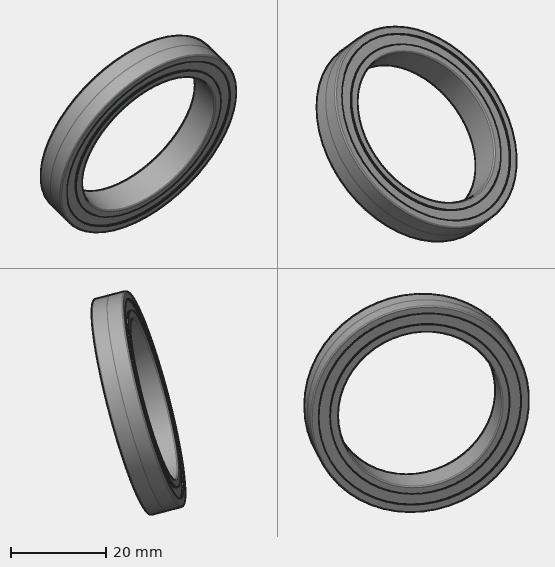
import cadquery as cq

width = 7.0
outer_diameter = 47.0
bore_diameter = 35.0
outer_race_inner_diameter = 43.45
inner_race_land_diameter = 38.55
edge_fillet = 0.3
shield_recess = 0.352


def ring(outside_diameter, inside_diameter, length):
    """Plain ring along X, centred on the YZ plane."""
    return (
        cq.Workplane("YZ")
        .circle(outside_diameter / 2)
        .circle(inside_diameter / 2)
        .extrude(length / 2, both=True)
    )


def make_outer_race():
    """Outer race, rounded where its end faces meet the rim."""
    race = ring(outer_diameter, outer_race_inner_diameter, width)
    rim_edges = cq.selectors.RadiusNthSelector(-1)
    return race.faces("<X or >X").edges(rim_edges).fillet(edge_fillet)


def make_inner_race():
    """Inner race with a rounded bore, and the recessed shield that reaches the outer race."""
    race = ring(inner_race_land_diameter, bore_diameter, width)
    bore_edges = cq.selectors.RadiusNthSelector(0)
    race = race.faces("<X or >X").edges(bore_edges).fillet(edge_fillet)

    shield_width = width - 2 * shield_recess
    shield = ring(outer_race_inner_diameter, inner_race_land_diameter, shield_width)
    return race.union(shield)


outer_race = make_outer_race()
inner_race = make_inner_race()

result = cq.Compound.makeCompound([outer_race.val(), inner_race.val()])